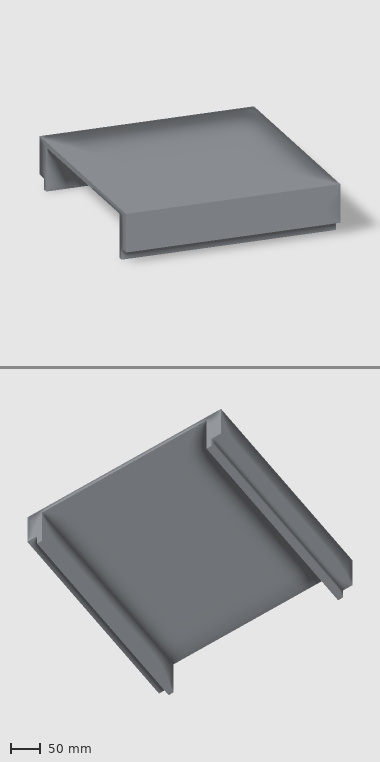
import cadquery as cq

width = 400.0
depth = 390.0
height = 90.0

top_thickness = 10.0
wall_thickness = 30.0
lip_thickness = 10.0
lip_height = 20.0

half_width = width / 2
inner_half_width = half_width - wall_thickness
lip_half_width = inner_half_width + lip_thickness

half_section = [
    (0, height),
    (half_width, height),
    (half_width, lip_height),
    (lip_half_width, lip_height),
    (lip_half_width, 0),
    (inner_half_width, 0),
    (inner_half_width, height - top_thickness),
    (0, height - top_thickness),
]

result = (
    cq.Workplane("XZ")
    .polyline(half_section)
    .mirrorY()
    .extrude(depth / 2, both=True)
)